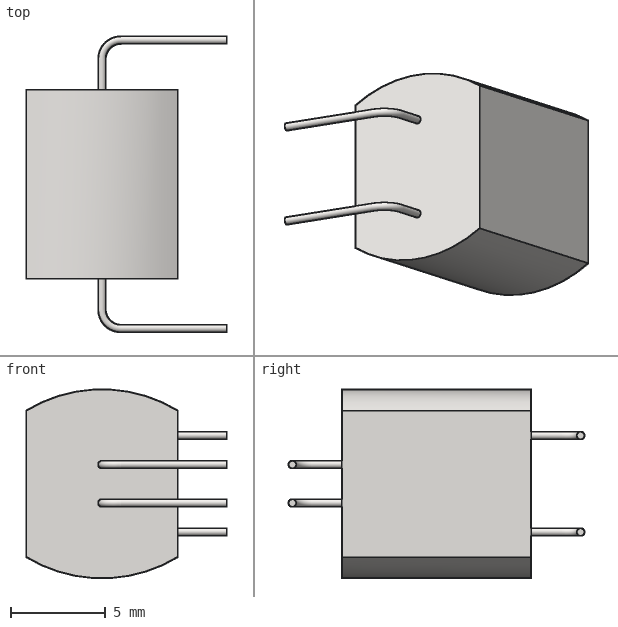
import cadquery as cq

body_width = 8.02
body_length = 10.0
body_height = 10.0
side_height = 7.74

wall_thickness = 0.5
filling_side_height = 7.07

lead_diameter = 0.41
lead_bend_radius = 1.0
lead_row_spacing = 15.24
lead_reach = 2.59
lead_tip_x = body_width / 2 + lead_reach
front_lead_pitch = 2.03
rear_lead_pitch = 5.1
lead_embedment = 1.0


def make_crowned_block(width, height, flat_height):
    """Full-length block with flat sides and arched top and bottom."""
    half_width = width / 2
    half_height = height / 2
    half_flat = flat_height / 2
    return (
        cq.Workplane("XZ")
        .moveTo(-half_width, -half_flat)
        .lineTo(-half_width, half_flat)
        .threePointArc((0, half_height), (half_width, half_flat))
        .lineTo(half_width, -half_flat)
        .threePointArc((0, -half_height), (-half_width, -half_flat))
        .close()
        .extrude(body_length / 2, both=True)
    )


def make_body():
    """Case and filling fused without merging faces, so the seam stays on the ends."""
    outer = make_crowned_block(body_width, body_height, side_height)
    filling = make_crowned_block(
        body_width - 2 * wall_thickness,
        body_height - 2 * wall_thickness,
        filling_side_height,
    )
    case = outer.cut(filling)
    return case.union(filling, clean=False)


def make_lead(end, z):
    """Bent wire at height z; end is -1 for the front (-Y) face, +1 for the rear."""
    start_y = end * (body_length / 2 - lead_embedment)
    outer_y = end * lead_row_spacing / 2
    bend_start_y = outer_y - end * lead_bend_radius
    path = (
        cq.Workplane("XY", origin=(0, 0, z))
        .moveTo(0, start_y)
        .lineTo(0, bend_start_y)
        .tangentArcPoint((lead_bend_radius, outer_y), relative=False)
        .lineTo(lead_tip_x, outer_y)
    )
    section = cq.Workplane("XZ", origin=(0, start_y, z)).circle(lead_diameter / 2)
    return section.sweep(path)


def make_part():
    """Body with two leads at each end, joined into one solid."""
    part = make_body()
    for end, pitch in ((-1, front_lead_pitch), (1, rear_lead_pitch)):
        for z in (-pitch / 2, pitch / 2):
            part = part.union(make_lead(end, z), clean=False)
    return part.solids()


result = make_part()